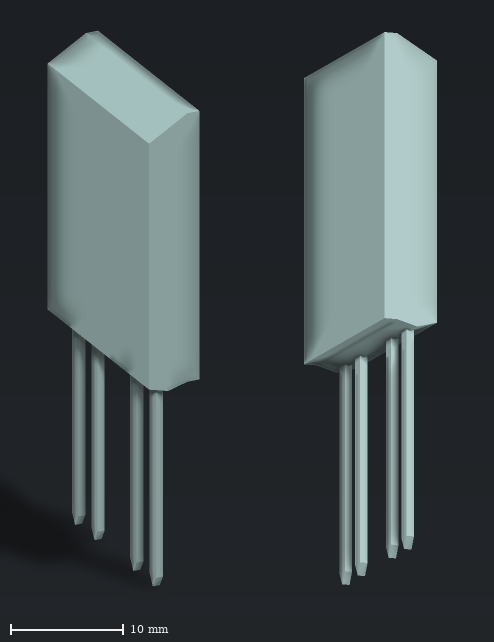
import cadquery as cq
import math

total_height = 46.55
body_width = 19.95
body_depth = 5.05

land_depth = 1.2
top_slope_angle = 30.0
bottom_slope_angle = 15.0
ridge_z = 19.9

pin_width = 1.25
pin_thickness = 0.7
pin_pitch = 3.8
pin_positions = (-2, -1, 1, 2)
pin_tip_height = 1.05
pin_embed = 0.95

ridge_y = -(land_depth + body_depth) / 2
slope_run = body_depth - land_depth
top_drop = slope_run * math.tan(math.radians(top_slope_angle))
ridge_drop = slope_run / 2 * math.tan(math.radians(bottom_slope_angle))
body_bottom_z = ridge_z + ridge_drop


def make_body():
    """Flat case with a sloped top and a shallow V along its underside."""
    profile = [
        (0, total_height),
        (-land_depth, total_height),
        (-body_depth, total_height - top_drop),
        (-body_depth, body_bottom_z),
        (ridge_y, ridge_z),
        (-land_depth, body_bottom_z),
        (0, body_bottom_z),
    ]
    return cq.Workplane("YZ").polyline(profile).close().extrude(body_width / 2, both=True)


def make_pin(center_x):
    """Flat pin, pointed at the bottom, with its top end inside the body."""
    half_width = pin_width / 2
    pin_top_z = ridge_z + pin_embed
    outline = [
        (center_x, 0),
        (center_x + half_width, pin_tip_height),
        (center_x + half_width, pin_top_z),
        (center_x - half_width, pin_top_z),
        (center_x - half_width, pin_tip_height),
    ]
    plane = cq.Workplane("XZ", origin=(0, ridge_y, 0))
    return plane.polyline(outline).close().extrude(pin_thickness / 2, both=True)


result = make_body()
for position in pin_positions:
    result = result.union(make_pin(position * pin_pitch))